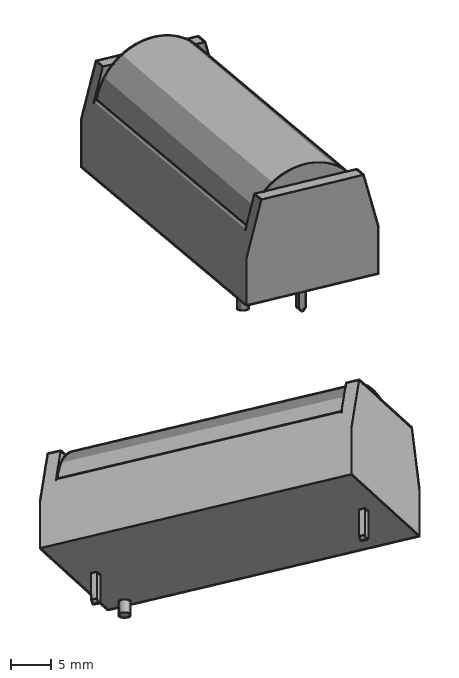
import cadquery as cq

length = 43.25
width = 18.5
body_height = 14.2
shoulder_height = 6.57
top_width = 14.35
wall_lean = (width - top_width) / 2 / (body_height - shoulder_height)

overall_height = 20.75
pin_length = 4.15
battery_top = overall_height - pin_length
battery_radius = 8.17
battery_axis_height = battery_top - battery_radius
end_wall = 1.8
bay_length = length - 2 * end_wall
rim_height = 9.8
rim_radius = 0.48

pin_spacing = 37.2
pin_thickness = 0.8
pin_width = 0.95
pin_tip_height = 0.45
pin_tip_width = 0.17

peg_diameter = 1.45
peg_length = 1.8
peg_x = 18.8
peg_y = -8.25


def make_block(block_length, height):
    """Block centred on the origin, with both upper side walls leaning inwards up to the given height."""
    half_top = width / 2 - (height - shoulder_height) * wall_lean
    profile = [
        (-width / 2, 0),
        (width / 2, 0),
        (width / 2, shoulder_height),
        (half_top, height),
        (-half_top, height),
        (-width / 2, shoulder_height),
    ]
    return cq.Workplane("YZ").polyline(profile).close().extrude(block_length / 2, both=True)


def make_body():
    middle = make_block(bay_length, rim_height).faces(">Z").edges("|X").fillet(rim_radius)
    end_walls = make_block(length, body_height).cut(make_block(bay_length, body_height))
    return middle.union(end_walls)


def make_battery():
    return (
        cq.Workplane("YZ")
        .center(0, battery_axis_height)
        .circle(battery_radius)
        .extrude(bay_length / 2, both=True)
    )


def make_pin(x):
    tip_start = pin_tip_height - pin_length
    profile = [
        (-pin_width / 2, 0),
        (-pin_width / 2, tip_start),
        (-pin_tip_width / 2, -pin_length),
        (pin_tip_width / 2, -pin_length),
        (pin_width / 2, tip_start),
        (pin_width / 2, 0),
    ]
    pin = cq.Workplane("YZ").polyline(profile).close().extrude(pin_thickness / 2, both=True)
    return pin.translate((x, 0, 0))


def make_peg():
    return cq.Workplane("XY").center(peg_x, peg_y).circle(peg_diameter / 2).extrude(-peg_length)


result = make_body().union(make_battery()).union(make_peg())
for side in (-1, 1):
    result = result.union(make_pin(side * pin_spacing / 2))